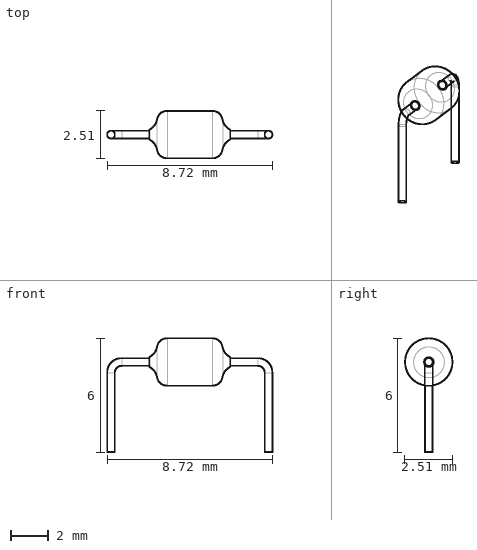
import cadquery as cq
import math

overall_length = 8.72
overall_height = 6.0
body_diameter = 2.51
lead_diameter = 0.42

barrel_length = 2.39
shoulder_radius = 0.54
shoulder_end_angle = 10.0
neck_radius = 0.77
neck_end_angle = 30.0
body_length = 4.28

bend_radius = 0.56

body_radius = body_diameter / 2
lead_radius = lead_diameter / 2
lead_spacing = overall_length - lead_diameter
lead_bottom = body_radius - overall_height


def arc_point(center, radius, degrees):
    """Point (x, r) on a circle, with the angle measured from +X."""
    angle = math.radians(degrees)
    return (center[0] + radius * math.cos(angle), center[1] + radius * math.sin(angle))


def mirrored(point):
    """The matching point on the -X side."""
    return (-point[0], point[1])


def body():
    """Barrel, shoulders and necks, revolved around the X axis."""
    barrel_end = (barrel_length / 2, body_radius)
    shoulder_center = (barrel_end[0], body_radius - shoulder_radius)
    shoulder_middle = arc_point(shoulder_center, shoulder_radius, (90 + shoulder_end_angle) / 2)
    shoulder_end = arc_point(shoulder_center, shoulder_radius, shoulder_end_angle)

    neck_center = arc_point(shoulder_center, shoulder_radius + neck_radius, shoulder_end_angle)
    neck_start_direction = 180 + shoulder_end_angle
    neck_end_direction = 270 - neck_end_angle
    neck_middle = arc_point(neck_center, neck_radius, (neck_start_direction + neck_end_direction) / 2)
    neck_end = arc_point(neck_center, neck_radius, neck_end_direction)

    tip_x = body_length / 2
    tip_radius = neck_end[1] - (tip_x - neck_end[0]) * math.tan(math.radians(neck_end_angle))
    tip_edge = (tip_x, tip_radius)

    profile = (
        cq.Workplane("XZ")
        .moveTo(*mirrored(barrel_end))
        .lineTo(*barrel_end)
        .threePointArc(shoulder_middle, shoulder_end)
        .threePointArc(neck_middle, neck_end)
        .lineTo(*tip_edge)
        .lineTo(tip_x, 0)
        .lineTo(-tip_x, 0)
        .lineTo(*mirrored(tip_edge))
        .lineTo(*mirrored(neck_end))
        .threePointArc(mirrored(neck_middle), mirrored(shoulder_end))
        .threePointArc(mirrored(shoulder_middle), mirrored(barrel_end))
        .close()
    )
    return profile.revolve(360, (0, 0, 0), (1, 0, 0))


def lead():
    """The +X lead, from the middle of the body to its lower tip."""
    lead_x = lead_spacing / 2
    bend_start_x = lead_x - bend_radius
    bend_middle = arc_point((bend_start_x, -bend_radius), bend_radius, 45)
    path = (
        cq.Workplane("XZ")
        .moveTo(0, 0)
        .lineTo(bend_start_x, 0)
        .threePointArc(bend_middle, (lead_x, -bend_radius))
        .lineTo(lead_x, lead_bottom)
    )
    return cq.Workplane("YZ").circle(lead_radius).sweep(path)


right_lead = lead()
left_lead = right_lead.mirror("YZ")
result = body().union(right_lead).union(left_lead)